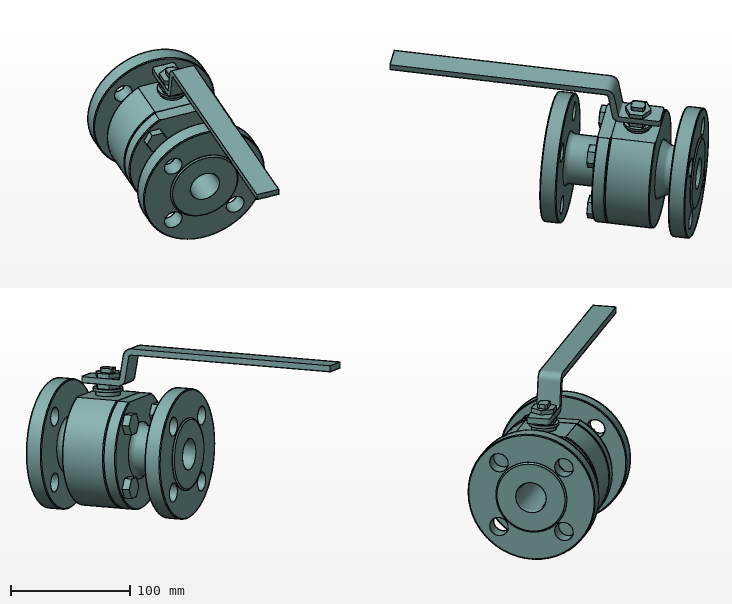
import cadquery as cq
import math


overall_length = 261.5
face_to_face = 127.0
bore_dia = 25.0
bore_mouth_dia = 26.5
bore_mouth_depth = 3.1

flange_dia = 110.0
flange_thickness = 14.0
flange_edge_chamfer = 0.8
raised_face_dia = 61.5
raised_face_height = 1.5
raised_face_chamfer = 1.3
flange_hole_dia = 16.0
flange_hole_count = 4
flange_bolt_circle_dia = 79.5

neck_dia = 42.0
flare_run = 5.2
flare_rise = 3.1
right_flare_run = 4.5
right_flare_rise = 2.4
shoulder_blend_start = 24.3
shoulder_cone_start = 26.7
shoulder_cone_start_dia = 43.7
shoulder_cone_end = 30.5
shoulder_cone_end_dia = 48.0
shoulder_root_dia = 51.0

body_dia = 100.2
body_start = 32.7
joint_position = 70.9
body_end = 82.0
housing_flat_height = 45.0
cap_flat_height = 44.7
body_edge_chamfer = 0.8

body_bolt_across_flats = 16.7
body_bolt_head_height = 6.5
body_bolt_offset = 27.2

stem_x = 51.3
stem_y = 1.5
gland_dia = 21.0
washer_dia = 25.0
washer_bottom = 48.6
washer_thickness = 2.4
nut_across_corners = 22.0
nut_thickness = 4.0
stem_dia = 12.5
stem_length_along_x = 11.5
stem_across_flats = 8.5
stem_top = 67.7

handle_width = 20.0
handle_thickness = 5.2
handle_start = 30.9
handle_top = 87.3
handle_corner_radius = 2.0
handle_rise_start = 66.2
handle_rise_angle = math.radians(80)
lower_inner_bend_radius = 1.0
upper_inner_bend_radius = 2.4

neck_radius = neck_dia / 2
left_flange_start = raised_face_height
left_flange_end = left_flange_start + flange_thickness
right_flange_end = face_to_face - raised_face_height
right_flange_start = right_flange_end - flange_thickness
washer_top = washer_bottom + washer_thickness
handle_bottom = washer_top + nut_thickness
upper_nut_bottom = handle_bottom + handle_thickness


def disc(dia, start, length):
    """Cylinder on the flow axis."""
    return cq.Workplane("YZ", origin=(start, 0, 0)).circle(dia / 2).extrude(length)


def make_flange(start, raised_start, outer_side):
    """Drilled flange plate with a raised sealing face on its outer side (">X" or "<X")."""
    plate = disc(flange_dia, start, flange_thickness).edges().chamfer(flange_edge_chamfer)
    raised_face = disc(raised_face_dia, raised_start, raised_face_height)
    raised_face = raised_face.faces(outer_side).chamfer(raised_face_chamfer)
    holes = (
        cq.Workplane("YZ", origin=(start, 0, 0))
        .polarArray(flange_bolt_circle_dia / 2, 45, 360, flange_hole_count)
        .circle(flange_hole_dia / 2)
        .extrude(flange_thickness)
    )
    return plate.cut(holes).union(raised_face)


def revolve_about_flow_axis(profile):
    return profile.close().revolve(360, (0, 0, 0), (1, 0, 0))


def make_flare(wall_x, run, rise):
    """Concave flare, tangent to the neck, rising to a wall; run is signed away from the wall."""
    foot_x = wall_x + run
    neck_x = foot_x + run
    profile = (
        cq.Workplane("XY")
        .moveTo(wall_x, 0)
        .lineTo(neck_x, 0)
        .lineTo(neck_x, neck_radius)
        .lineTo(foot_x, neck_radius)
        .tangentArcPoint((wall_x, neck_radius + rise), relative=False)
    )
    return revolve_about_flow_axis(profile)


def make_shoulder():
    """Left neck widening into the body through a blend, a cone and a root fillet."""
    profile = (
        cq.Workplane("XY")
        .moveTo(left_flange_end, 0)
        .lineTo(left_flange_end, neck_radius)
        .lineTo(shoulder_blend_start, neck_radius)
        .tangentArcPoint((shoulder_cone_start, shoulder_cone_start_dia / 2), relative=False)
        .lineTo(shoulder_cone_end, shoulder_cone_end_dia / 2)
        .tangentArcPoint((body_start, shoulder_root_dia / 2), relative=False)
        .lineTo(body_start, 0)
    )
    return revolve_about_flow_axis(profile)


def make_necks():
    right_neck = disc(neck_dia, body_end, right_flange_start - body_end)
    return (
        make_shoulder()
        .union(make_flare(left_flange_end, flare_run, flare_rise))
        .union(right_neck)
        .union(make_flare(body_end, flare_run, flare_rise))
        .union(make_flare(right_flange_start, -right_flare_run, right_flare_rise))
    )


def make_body_section(start, end, flat_height):
    """Round section with chamfered rims and a flat cut across its top."""
    section = disc(body_dia, start, end - start).edges().chamfer(body_edge_chamfer)
    above_flat = (
        cq.Workplane("XY", origin=((start + end) / 2, 0, flat_height))
        .rect(end - start, body_dia)
        .extrude(body_dia / 2)
    )
    return section.cut(above_flat)


def make_body():
    housing = make_body_section(body_start, joint_position, housing_flat_height)
    end_cap = make_body_section(joint_position, body_end, cap_flat_height)
    return housing.union(end_cap)


def make_body_bolts():
    across_corners = body_bolt_across_flats / math.cos(math.radians(30))
    return (
        cq.Workplane("YZ", origin=(body_end, 0, 0))
        .rect(2 * body_bolt_offset, 2 * body_bolt_offset, forConstruction=True)
        .vertices()
        .polygon(6, across_corners)
        .extrude(body_bolt_head_height)
    )


def stem_plane(z):
    return cq.Workplane("XY", origin=(stem_x, stem_y, z))


def make_nut(bottom):
    return stem_plane(bottom).polygon(6, nut_across_corners).extrude(nut_thickness)


def make_stem_stack():
    gland_bottom = cap_flat_height
    gland = stem_plane(gland_bottom).circle(gland_dia / 2).extrude(washer_bottom - gland_bottom)
    washer = stem_plane(washer_bottom).circle(washer_dia / 2).extrude(washer_thickness)
    stem_height = stem_top - washer_top
    stem_flats = stem_plane(washer_top).rect(stem_length_along_x, stem_across_flats).extrude(stem_height)
    stem = stem_plane(washer_top).circle(stem_dia / 2).extrude(stem_height).intersect(stem_flats)
    return (
        gland.union(washer)
        .union(make_nut(washer_top))
        .union(make_nut(upper_nut_bottom))
        .union(stem)
    )


def make_handle():
    lower_top = handle_bottom + handle_thickness
    upper_bottom = handle_top - handle_thickness
    bend_shift = handle_thickness * math.tan(handle_rise_angle / 2)
    upper_outer_x = handle_rise_start + (handle_top - lower_top) / math.tan(handle_rise_angle)
    lower_outer_x = handle_rise_start + bend_shift
    upper_inner_x = upper_outer_x + bend_shift
    strip = (
        cq.Workplane("XZ", origin=(0, stem_y + handle_width / 2, 0))
        .moveTo(handle_start, handle_bottom)
        .lineTo(lower_outer_x, handle_bottom)
        .lineTo(upper_inner_x, upper_bottom)
        .lineTo(overall_length, upper_bottom)
        .lineTo(overall_length, handle_top)
        .lineTo(upper_outer_x, handle_top)
        .lineTo(handle_rise_start, lower_top)
        .lineTo(handle_start, lower_top)
        .close()
        .extrude(handle_width)
    )

    bends = [
        (handle_rise_start, lower_top, lower_inner_bend_radius),
        (lower_outer_x, handle_bottom, lower_inner_bend_radius + handle_thickness),
        (upper_inner_x, upper_bottom, upper_inner_bend_radius),
        (upper_outer_x, handle_top, upper_inner_bend_radius + handle_thickness),
    ]
    for x, z, radius in bends:
        corner = cq.selectors.NearestToPointSelector((x, stem_y, z))
        strip = strip.edges(corner).fillet(radius)
    return strip.faces("<X").edges("|Z").fillet(handle_corner_radius)


def make_bore():
    """Straight through bore with a conical mouth at each end."""
    profile = (
        cq.Workplane("XY")
        .moveTo(0, 0)
        .lineTo(0, bore_mouth_dia / 2)
        .lineTo(bore_mouth_depth, bore_dia / 2)
        .lineTo(face_to_face - bore_mouth_depth, bore_dia / 2)
        .lineTo(face_to_face, bore_mouth_dia / 2)
        .lineTo(face_to_face, 0)
    )
    return revolve_about_flow_axis(profile)


result = (
    make_body()
    .union(make_necks())
    .union(make_flange(left_flange_start, 0, "<X"))
    .union(make_flange(right_flange_start, right_flange_end, ">X"))
    .union(make_body_bolts())
    .union(make_stem_stack())
    .union(make_handle())
    .cut(make_bore())
)